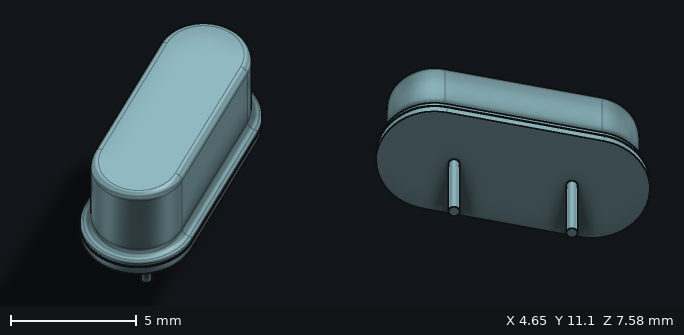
import cadquery as cq

flange_width = 4.65
flange_length = 11.05
flange_height = 0.70
flange_edge_radius = 0.10

groove_bottom = 0.375
groove_height = 0.05
groove_depth = 0.075

can_inset = 0.425
can_top = 4.08
can_top_radius = 0.30
can_foot_radius = 0.30

pin_diameter = 0.45
pin_length = 3.50
pin_spacing = 4.80


def stadium(inset, bottom, top):
    """Upright round-ended prism, set in from the flange outline, long along Y."""
    width = flange_width - 2 * inset
    length = flange_length - 2 * inset
    return (
        cq.Workplane("XY")
        .workplane(offset=bottom)
        .slot2D(length, width, angle=90)
        .extrude(top - bottom)
    )


def make_groove():
    """Ring of material removed from the rim of the flange."""
    groove_top = groove_bottom + groove_height
    outer = stadium(0, groove_bottom, groove_top)
    core = stadium(groove_depth, groove_bottom, groove_top)
    return outer.cut(core)


def flange_top(body):
    """Flat ring on top of the flange: the lower of the two faces that look straight up."""
    return body.faces("+Z").sort(lambda face: face.Center().z).val()


def make_housing():
    """Flange and can in one piece, with rounded edges and a grooved rim."""
    flange = stadium(0, 0, flange_height)
    can = (
        stadium(can_inset, flange_height, can_top)
        .faces(">Z")
        .edges()
        .fillet(can_top_radius)
    )
    body = flange.union(can)

    flange_face = flange_top(body)
    foot_edges = flange_face.innerWires()[0].Edges()
    body = body.newObject(foot_edges).fillet(can_foot_radius)

    flange_face = flange_top(body)
    rim_edges = flange_face.outerWire().Edges()
    body = body.newObject(rim_edges).fillet(flange_edge_radius)
    return body.cut(make_groove())


def make_pin(y):
    """Round lead pin hanging from the underside of the flange."""
    return cq.Workplane("XY").center(0, y).circle(pin_diameter / 2).extrude(-pin_length)


housing = make_housing()
pins = [make_pin(side * pin_spacing / 2) for side in (-1, 1)]

result = cq.Compound.makeCompound([housing.val(), *[pin.val() for pin in pins]])